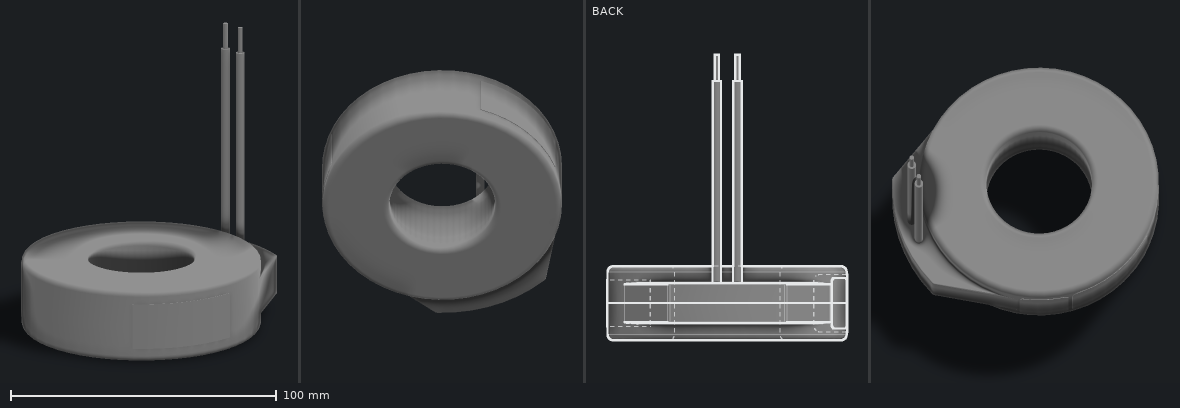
import cadquery as cq
import math

RING_RADIUS = 45.1
BORE_RADIUS = 19.9
HALF_HEIGHT = 14.0
RING_FILLET = 2.3

LUG_RADIUS = 55.5
LUG_HALF_ANGLE = 23.6
LUG_HALF_THICKNESS = 7.5
LUG_CORNER_FILLET = 2.0
LUG_EDGE_FILLET = 0.4
LUG_ROOT_FILLET = 0.4

WIRE_OFFSET_X = 3.9
WIRE_Y = 49.8
SLEEVE_RADIUS = 1.6
CORE_RADIUS = 0.9
STRIPPED_LENGTH = 9.9
TOTAL_HEIGHT = 107.8
WIRE_TOP = TOTAL_HEIGHT - HALF_HEIGHT

LABEL_THICKNESS = 0.2
LARGE_LABEL = {"start": 175.7, "end": 224.0, "height": 21.5, "corner": 3.0}
SMALL_LABEL = {"start": 150.3, "end": 173.9, "height": 19.1, "corner": 2.0}
SQUARE_LABEL = {"start": -50.2, "end": 1.3, "height": 17.6, "corner": 0.0}


def polar(radius, angle):
    """Point in the XY plane at an angle in degrees from +X."""
    return (radius * math.cos(math.radians(angle)), radius * math.sin(math.radians(angle)))


def make_ring_half():
    """Upper half of the ring, with rounded rims around the outside and the bore."""
    ring = cq.Workplane("XY").circle(RING_RADIUS).circle(BORE_RADIUS).extrude(HALF_HEIGHT)
    return ring.faces(">Z").edges().fillet(RING_FILLET)


def make_lug_half():
    """Upper half of the lug; its back edge is buried in the ring."""
    tangent_half_angle = LUG_HALF_ANGLE + math.degrees(math.acos(RING_RADIUS / LUG_RADIUS))
    right_root = polar(RING_RADIUS, 90 - tangent_half_angle)
    left_root = polar(RING_RADIUS, 90 + tangent_half_angle)
    right_corner = polar(LUG_RADIUS, 90 - LUG_HALF_ANGLE)
    left_corner = polar(LUG_RADIUS, 90 + LUG_HALF_ANGLE)
    lug = (
        cq.Workplane("XY")
        .moveTo(*right_root)
        .lineTo(*right_corner)
        .threePointArc((0, LUG_RADIUS), left_corner)
        .lineTo(*left_root)
        .close()
        .extrude(LUG_HALF_THICKNESS)
    )
    outer_corners = cq.selectors.BoxSelector(
        (-LUG_RADIUS, RING_RADIUS, 0), (LUG_RADIUS, LUG_RADIUS, LUG_HALF_THICKNESS)
    )
    lug = lug.edges("|Z").edges(outer_corners).fillet(LUG_CORNER_FILLET)
    return lug.faces(">Z").edges("not <Y").fillet(LUG_EDGE_FILLET)


def make_upper_half():
    """Upper housing half: half ring and half lug in one solid, blended along the lug's root."""
    half = make_ring_half().union(make_lug_half())
    margin = LUG_ROOT_FILLET / 2
    root_arc = cq.selectors.BoxSelector(
        (-RING_RADIUS, 0, LUG_HALF_THICKNESS - margin),
        (RING_RADIUS, RING_RADIUS + margin, LUG_HALF_THICKNESS + margin),
        boundingbox=True,
    )
    return half.edges(root_arc).fillet(LUG_ROOT_FILLET)


def make_wire(x):
    """Insulated wire with a stripped end, standing on the lug's top face."""
    wire = (
        cq.Workplane("XY", origin=(x, WIRE_Y, LUG_HALF_THICKNESS))
        .circle(SLEEVE_RADIUS)
        .extrude(WIRE_TOP - STRIPPED_LENGTH - LUG_HALF_THICKNESS)
    )
    return wire.faces(">Z").workplane().circle(CORE_RADIUS).extrude(STRIPPED_LENGTH)


def make_label(start, end, height, corner):
    """Curved plate between two angles, with its corners rounded if corner is above zero."""
    label_radius = RING_RADIUS + LABEL_THICKNESS
    middle = (start + end) / 2
    label = (
        cq.Workplane("XY", origin=(0, 0, -height / 2))
        .moveTo(*polar(RING_RADIUS, start))
        .lineTo(*polar(label_radius, start))
        .threePointArc(polar(label_radius, middle), polar(label_radius, end))
        .lineTo(*polar(RING_RADIUS, end))
        .threePointArc(polar(RING_RADIUS, middle), polar(RING_RADIUS, start))
        .close()
        .extrude(height)
    )
    if corner > 0:
        end_faces = label.faces("#Z").faces("%PLANE")
        label = end_faces.edges("#Z").fillet(corner)
    return label


upper_half = make_upper_half()
lower_half = upper_half.mirror("XY")
wires = [make_wire(x) for x in (-WIRE_OFFSET_X, WIRE_OFFSET_X)]
labels = [make_label(**sizes) for sizes in (LARGE_LABEL, SMALL_LABEL, SQUARE_LABEL)]

result = cq.Compound.makeCompound(
    [
        upper_half.val(),
        lower_half.val(),
        *[wire.val() for wire in wires],
        *[label.val() for label in labels],
    ]
)